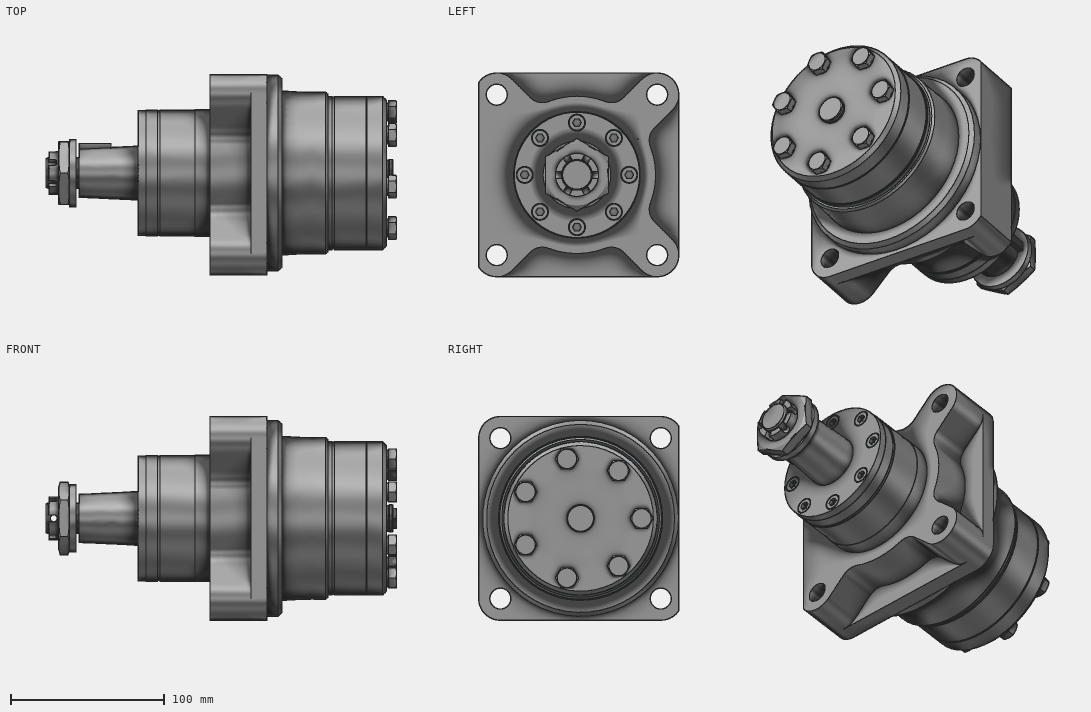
import cadquery as cq
import math


overall_length = 228.3
cone_start = 21.6
cone_end = 57.8
barrel_start = 60.1
cover_end = 65.3
seal_groove_at = 73.6
pilot_start = 97.0
flange_start = 106.7
thin_plate_start = 133.4
collar_start = 143.8
collar_end = 153.8
spindle_band_end = 155.4
spindle_end = 182.1
gear_start = 183.5
gear_groove_at = 187.0
end_cover_joint = 208.8
motor_end = 221.7

thread_dia = 20.0
thread_tip_dia = 18.63
shaft_dia = 35.0
cone_taper = 0.095
cone_start_dia = shaft_dia - cone_taper * (cone_end - cone_start)
pin_hole_dia = 4.5
pin_hole_at = 5.15

key_size = 6.0
key_length = 20.8
key_top = 19.3

crown_start = 2.1
crown_dia = 28.0
slot_count = 6
hex_start = 8.3
hex_end = 15.4
hex_flats = 41.0
hex_face_dia = 40.2
hex_bevel = 1.0
nut_collar_dia = 44.0
nut_collar_end = 19.7

cover_dia = 81.5
barrel_dia = 82.0
pilot_dia = 82.5
collar_dia = 127.5
collar_chamfer = 2.6
spindle_dia = 106.8
spindle_waist_dia = 105.4
spindle_end_dia = 105.5
spindle_chamfer = 1.4
gear_dia = 100.0
gear_chamfer = 2.6
seal_groove_width = 1.6
gear_groove_width = 1.4
joint_groove_width = 0.6
groove_depth = 0.4

flange_size = 132.7
flange_half = flange_size / 2
flange_cut_side = 64.0
hole_offset = 52.2
mount_hole_dia = 13.5
corner_radius = flange_half - hole_offset
hub_radius = 51.2
pocket_fillet = 11.0

screw_count = 8
screw_circle_radius = 34.0
counterbore_dia = 11.0
screw_head_dia = 10.0
screw_head_height = 6.0
socket_flats = 5.0
socket_depth = 3.0

bolt_count = 7
bolt_circle_radius = 39.7
bolt_flats = 13.0
bolt_face_dia = 11.6
bolt_face_thickness = 1.3
bolt_bevel = 0.6
plug_neck_dia = 16.9
plug_dia = 18.0
plug_neck_end = motor_end + 1.3
plug_end = motor_end + 4.3
plug_bevel = 0.6

clearance = 1.0


def hex_corners(flats):
    """Across-corners size of a hexagon given its size across flats."""
    return flats / math.cos(math.pi / 6)


def yz_plane(x):
    """Sketch plane at a station X, with local axes Y and Z."""
    return cq.Workplane("YZ", origin=(x, 0, 0))


def disc(start, end, diameter):
    return yz_plane(start).circle(diameter / 2).extrude(end - start)


def ring_groove(center, width, diameter):
    """Cutter for a shallow square groove around a cylinder."""
    start = center - width / 2
    outer = yz_plane(start).circle(diameter / 2 + clearance)
    return outer.circle(diameter / 2 - groove_depth).extrude(width)


def polar_points(count, radius):
    """Points on a circle about the motor axis, the first one on +Y."""
    step = 2 * math.pi / count
    return [(radius * math.cos(i * step), radius * math.sin(i * step)) for i in range(count)]


def revolved_body():
    """Shaft, barrel, collar, spindle housing and gear set turned about the X axis."""
    tip_bevel = thread_dia - thread_tip_dia
    profile = (
        cq.Workplane("XY")
        .moveTo(0, 0)
        .lineTo(0, thread_tip_dia / 2)
        .lineTo(tip_bevel, thread_dia / 2)
        .lineTo(cone_start, thread_dia / 2)
        .lineTo(cone_start, cone_start_dia / 2)
        .lineTo(cone_end, shaft_dia / 2)
        .lineTo(barrel_start, shaft_dia / 2)
        .lineTo(barrel_start, cover_dia / 2)
        .lineTo(cover_end, cover_dia / 2)
        .lineTo(cover_end, barrel_dia / 2)
        .lineTo(pilot_start, barrel_dia / 2)
        .lineTo(pilot_start, pilot_dia / 2)
        .lineTo(collar_start, pilot_dia / 2)
        .lineTo(collar_start, collar_dia / 2)
        .lineTo(collar_end - collar_chamfer, collar_dia / 2)
        .lineTo(collar_end, collar_dia / 2 - collar_chamfer)
        .lineTo(collar_end, spindle_dia / 2)
        .lineTo(spindle_band_end, spindle_dia / 2)
        .threePointArc(
            ((spindle_band_end + spindle_end) / 2, spindle_waist_dia / 2),
            (spindle_end, spindle_end_dia / 2),
        )
        .lineTo(gear_start, spindle_end_dia / 2 - spindle_chamfer)
        .lineTo(gear_start, gear_dia / 2)
        .lineTo(motor_end - gear_chamfer, gear_dia / 2)
        .lineTo(motor_end, gear_dia / 2 - gear_chamfer)
        .lineTo(motor_end, 0)
        .close()
    )
    body = profile.revolve(360, (0, 0, 0), (1, 0, 0))
    body = body.cut(ring_groove(seal_groove_at, seal_groove_width, barrel_dia))
    body = body.cut(ring_groove(gear_groove_at, gear_groove_width, gear_dia))
    return body.cut(ring_groove(end_cover_joint, joint_groove_width, gear_dia))


def side_outline():
    """Points along the +Z side of the lugs: lug edge, fillet, hub and back to the other lug."""
    diagonal = math.sqrt(0.5)
    across = corner_radius + pocket_fillet
    along = math.sqrt((hub_radius + pocket_fillet) ** 2 - across**2)
    fillet_y = (along - across) * diagonal
    fillet_z = (along + across) * diagonal
    hub_share = hub_radius / (hub_radius + pocket_fillet)
    middle = (math.atan2(-fillet_z, -fillet_y) - math.pi / 4) / 2
    half = [
        (hole_offset - corner_radius * diagonal, hole_offset + corner_radius * diagonal),
        (fillet_y + pocket_fillet * diagonal, fillet_z - pocket_fillet * diagonal),
        (fillet_y + pocket_fillet * math.cos(middle), fillet_z + pocket_fillet * math.sin(middle)),
        (fillet_y * hub_share, fillet_z * hub_share),
    ]
    mirrored = [(-y, z) for y, z in reversed(half)]
    return half + [(0, hub_radius)] + mirrored


def turned(point, quarter_turns):
    """Point turned about the motor axis, from +Y toward +Z."""
    y, z = point
    for _ in range(quarter_turns):
        y, z = -z, y
    return y, z


def lug_block():
    """Four lugs around the hub, open on three sides and flat on +Y."""
    flat_rise = math.sqrt(corner_radius**2 - (flange_cut_side - hole_offset) ** 2)
    flat_corner = hole_offset + flat_rise
    corner_outer = hole_offset + corner_radius * math.sqrt(0.5)
    outline = yz_plane(flange_start).moveTo(flange_cut_side, flat_corner)
    lug_middle = (hole_offset, flange_half)
    for turn in range(3):
        points = [turned(point, turn) for point in side_outline()]
        outline = (
            outline.threePointArc(lug_middle, points[0])
            .lineTo(*points[1])
            .threePointArc(points[2], points[3])
            .threePointArc(points[4], points[5])
            .threePointArc(points[6], points[7])
            .lineTo(*points[8])
        )
        lug_middle = turned((corner_outer, corner_outer), turn + 1)
    outline = outline.threePointArc((hole_offset, -flange_half), (flange_cut_side, -flat_corner))
    return outline.close().extrude(collar_start - flange_start)


def thin_plate():
    """Plate behind the side pockets, filling the outline between the lugs."""
    thickness = collar_start - thin_plate_start
    middle = yz_plane(thin_plate_start).rect(2 * hole_offset, flange_size).extrude(thickness)
    side = yz_plane(thin_plate_start).center(-flange_half / 2, 0)
    return middle.union(side.rect(flange_half, 2 * hole_offset).extrude(thickness))


def mounting_flange():
    holes = (
        yz_plane(flange_start)
        .rect(2 * hole_offset, 2 * hole_offset, forConstruction=True)
        .vertices()
        .circle(mount_hole_dia / 2)
        .extrude(collar_start - flange_start)
    )
    return lug_block().union(thin_plate()).cut(holes)


def cover_screw_cutters():
    """Ring gaps around the sunk screw heads, and their hexagon sockets."""
    points = polar_points(screw_count, screw_circle_radius)
    gaps = yz_plane(barrel_start).pushPoints(points).circle(counterbore_dia / 2)
    gaps = gaps.pushPoints(points).circle(screw_head_dia / 2).extrude(screw_head_height)
    sockets = yz_plane(barrel_start).pushPoints(points)
    sockets = sockets.polygon(6, hex_corners(socket_flats)).extrude(socket_depth)
    return gaps.union(sockets)


def rear_bolt(y, z):
    """Hexagon bolt head with a washer face, corners on +Y and -Y."""
    head_start = motor_end + bolt_face_thickness
    head_length = overall_length - head_start
    head = yz_plane(head_start).polygon(6, hex_corners(bolt_flats)).extrude(head_length)
    rounding = disc(head_start, overall_length, hex_corners(bolt_flats))
    head = head.intersect(rounding.faces(">X").chamfer(bolt_bevel, 2 * bolt_bevel))
    return head.union(disc(motor_end, head_start, bolt_face_dia)).translate((0, y, z))


def center_plug():
    flange = disc(plug_neck_end, plug_end, plug_dia).edges().chamfer(plug_bevel)
    return flange.union(disc(motor_end, plug_neck_end, plug_neck_dia))


def drive_key():
    """Straight parallel key on the +Y side of the shaft cone."""
    key = cq.Workplane("XY").box(key_length, key_size, key_size)
    return key.translate((cone_start + key_length / 2, key_top - key_size / 2, 0))


def drive_motor():
    """Housing and shaft, with the keyway, the pin hole and the fasteners."""
    body = revolved_body().union(mounting_flange()).cut(cover_screw_cutters())
    for y, z in polar_points(bolt_count, bolt_circle_radius):
        body = body.union(rear_bolt(y, z))
    body = body.union(center_plug())
    pin_hole = cq.Workplane("XZ", origin=(pin_hole_at, 0, 0)).circle(pin_hole_dia / 2)
    body = body.cut(pin_hole.extrude(thread_dia, both=True))
    return body.cut(drive_key())


def beveled_hexagon():
    """Hexagon of the nut, corners on +Z and -Z, beveled at both faces."""
    bevel_width = (hex_corners(hex_flats) - hex_face_dia) / 2
    length = hex_end - hex_start
    hexagon = yz_plane(hex_start).polygon(6, hex_corners(hex_flats)).extrude(length)
    hexagon = hexagon.rotate((0, 0, 0), (1, 0, 0), 90)
    rounding = disc(hex_start, hex_end, hex_corners(hex_flats))
    rounding = rounding.faces("<X").chamfer(hex_bevel, bevel_width)
    rounding = rounding.faces(">X").chamfer(hex_bevel, bevel_width)
    return hexagon.intersect(rounding)


def crown_slot(angle):
    """Round-bottomed radial slot through one side of the crown."""
    slot_open = crown_start - clearance
    half_width = pin_hole_dia / 2
    slot = (
        cq.Workplane("XZ")
        .moveTo(slot_open, half_width)
        .lineTo(pin_hole_at, half_width)
        .threePointArc((pin_hole_at + half_width, 0), (pin_hole_at, -half_width))
        .lineTo(slot_open, -half_width)
        .close()
        .extrude(crown_dia)
    )
    return slot.rotate((0, 0, 0), (1, 0, 0), angle)


def castle_nut():
    nut = disc(crown_start, hex_start, crown_dia).union(beveled_hexagon())
    nut = nut.union(disc(hex_end, nut_collar_end, nut_collar_dia))
    nut = nut.cut(disc(crown_start, nut_collar_end, thread_dia))
    for i in range(slot_count):
        nut = nut.cut(crown_slot(i * 360 / slot_count))
    return nut


motor = drive_motor()
key = drive_key()
nut = castle_nut()

result = cq.Compound.makeCompound([motor.val(), key.val(), nut.val()])